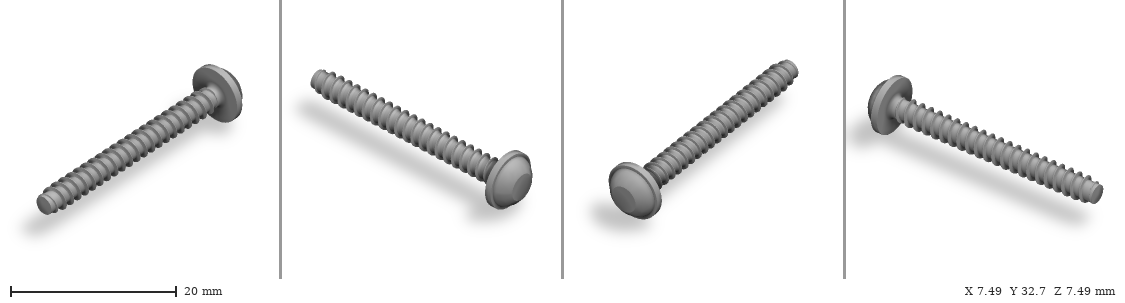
import cadquery as cq
import math


total_length = 32.7

flange_radius = 3.745
flange_height = 0.9
flange_edge_chamfer = 0.03
dome_height = 1.75
dome_base_radius = 3.3
dome_top_radius = 1.8
dome_shoulder_radius = 2.75
dome_shoulder_height = 1.05

shank_length = total_length - flange_height - dome_height
core_radius = 1.25
neck_radius = 1.35
neck_length = 0.9
neck_fillet = 0.5
tip_cone_height = 0.05

pitch = 1.292
crest_radius = 1.73
knee_radius = 1.37
crest_half_width = 0.03
knee_half_width = 0.1
root_reach_to_tip = 0.15
root_reach_to_head = 0.5
root_overlap = 0.03
root_radius = core_radius - root_overlap

full_thread_to_tip = 1.95
full_thread_start = full_thread_to_tip - shank_length
full_thread_start_turn = -0.2
full_thread_turns = 20.2
tip_fade_turns = 1.6
neck_fade_turns = 1.5

thread_profile = [
    (root_radius, -root_reach_to_tip),
    (knee_radius, -knee_half_width),
    (crest_radius, -crest_half_width),
    (crest_radius, crest_half_width),
    (knee_radius, knee_half_width),
    (root_radius, root_reach_to_head),
]


def make_body():
    """Revolve the head, neck and plain core as one solid."""
    flange_top = flange_height
    shoulder = (dome_shoulder_radius, flange_top + dome_shoulder_height)
    dome_top = (dome_top_radius, flange_top + dome_height)
    fillet_middle = neck_fillet * (1 - math.sqrt(0.5))
    return (
        cq.Workplane("XZ")
        .moveTo(0, -shank_length)
        .lineTo(core_radius, tip_cone_height - shank_length)
        .lineTo(core_radius, -neck_length)
        .lineTo(neck_radius, -neck_length)
        .lineTo(neck_radius, -neck_fillet)
        .threePointArc(
            (neck_radius + fillet_middle, -fillet_middle),
            (neck_radius + neck_fillet, 0),
        )
        .lineTo(flange_radius - flange_edge_chamfer, 0)
        .lineTo(flange_radius, flange_edge_chamfer)
        .lineTo(flange_radius, flange_top - flange_edge_chamfer)
        .lineTo(flange_radius - flange_edge_chamfer, flange_top)
        .lineTo(dome_base_radius, flange_top)
        .threePointArc(shoulder, dome_top)
        .lineTo(0, flange_top + dome_height)
        .close()
        .revolve(360, (0, 0, 0), (0, 1, 0))
    )


def helix_edge(radius, growth, turns):
    """Right-handed helix starting on the +X side, widening by growth on the way up."""
    height = pitch * turns
    if growth == 0:
        return cq.Wire.makeHelix(pitch, height, radius).Edges()[0]
    taper = math.atan2(growth, height)
    slant = 1 / math.cos(taper)
    wire = cq.Wire.makeHelix(pitch * slant, height * slant, radius, angle=math.degrees(taper))
    return wire.Edges()[0]


def faded_radius(radius, crest_drop):
    """Radius of a profile point once the crest has dropped; the root stays in place."""
    return radius - crest_drop * (radius - root_radius) / (crest_radius - root_radius)


def end_face(turn, crest_drop):
    """Flat thread section at the given number of turns along a run."""
    angle = 2 * math.pi * turn
    corners = []
    for full_radius, height in thread_profile:
        radius = faded_radius(full_radius, crest_drop)
        x, y = radius * math.cos(angle), radius * math.sin(angle)
        corners.append(cq.Vector(x, y, height + pitch * turn))
    return cq.Face.makeFromWires(cq.Wire.makePolygon(corners, close=True))


def thread_run(start_height, start_turn, turns, start_drop=0.0, end_drop=0.0):
    """Thread solid whose crest is lowered by the given drop at each end."""
    helices = []
    for full_radius, height in thread_profile:
        start_radius = faded_radius(full_radius, start_drop)
        growth = faded_radius(full_radius, end_drop) - start_radius
        helix = helix_edge(start_radius, growth, turns)
        helices.append(helix.translate(cq.Vector(0, 0, height)))

    next_helices = helices[1:] + helices[:1]
    faces = [cq.Face.makeRuledSurface(a, b) for a, b in zip(helices, next_helices)]
    faces.append(end_face(0, start_drop))
    faces.append(end_face(turns, end_drop))
    run = cq.Workplane(cq.Solid.makeSolid(cq.Shell.makeShell(faces)))
    turned_run = run.rotate((0, 0, 0), (0, 0, 1), 360 * start_turn)
    return turned_run.translate((0, 0, start_height))


def make_thread_runs():
    """Faded lead at the tip, full thread, and faded run-out at the neck."""
    full_thread = thread_run(full_thread_start, full_thread_start_turn, full_thread_turns)
    tip_fade = thread_run(
        full_thread_start - pitch * tip_fade_turns,
        full_thread_start_turn - tip_fade_turns,
        tip_fade_turns,
        start_drop=crest_radius - core_radius,
    )
    neck_fade = thread_run(
        full_thread_start + pitch * full_thread_turns,
        full_thread_start_turn + full_thread_turns,
        neck_fade_turns,
        end_drop=crest_radius - neck_radius + root_overlap,
    )
    threaded_length = shank_length - neck_length - tip_cone_height
    threaded_zone = (
        cq.Workplane("XY")
        .workplane(offset=tip_cone_height - shank_length)
        .circle(2 * crest_radius)
        .extrude(threaded_length)
    )
    return [tip_fade.intersect(threaded_zone), full_thread, neck_fade.intersect(threaded_zone)]


screw = make_body()
for run in make_thread_runs():
    screw = screw.union(run)

result = screw.rotate((0, 0, 0), (1, 0, 0), -90)